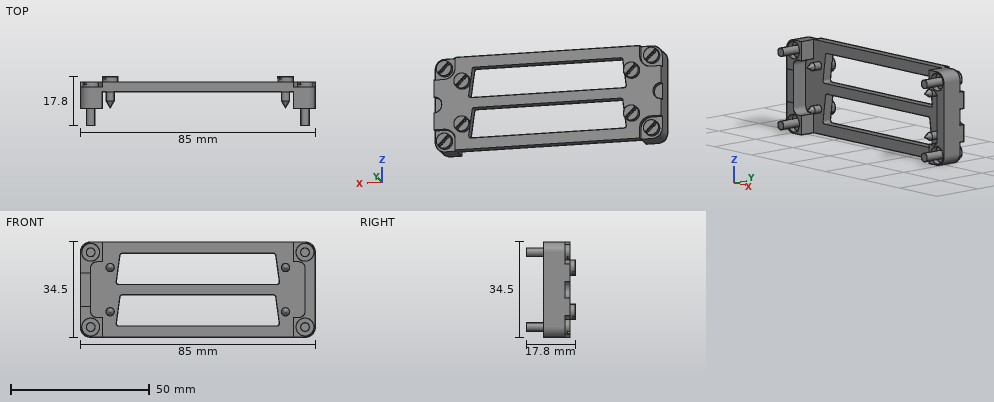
import cadquery as cq

LENGTH = 85.0
HEIGHT = 34.5
PLATE_THICKNESS = 3.65
BLOCK_DEPTH = 9.7
CORNER_RADIUS = 3.7

PAD_WIDTH = 8.0
PAD_HEIGHT = 7.1
RIM_WIDTH = 3.65
RIM_FILLET = 2.5

WINDOW_HEIGHT = 11.2
MIDDLE_BAR = 3.8
WINDOW_TOP_HALF = 28.05
WINDOW_BOTTOM_HALF = 29.6
WINDOW_FILLET = 0.85

SCREW_X = LENGTH / 2 - CORNER_RADIUS
SCREW_Z = HEIGHT / 2 - CORNER_RADIUS
SCREW_DIAMETER = 3.15
SCREW_REACH = 6.2
SCREW_RECESS_DIAMETER = 6.5
SCREW_RECESS_DEPTH = 2.3

GUIDE_X = 31.7
GUIDE_Z = 8.0
GUIDE_DIAMETER = 3.0
GUIDE_SHANK = 3.2
GUIDE_POINT = 2.55

HEAD_DIAMETER = 5.6
HEAD_HEIGHT = 1.9
SLOT_WIDTH = 0.85
SLOT_DEPTH = 0.9
SLOT_ANGLE = 45.0

POCKET_DEPTH = HEAD_HEIGHT
EDGE_NOTCH_DIAMETER = 5.95
LABEL_HEIGHT = 12.1
LABEL_DEPTH = 0.1

BLOCK_FRONT = -BLOCK_DEPTH
SIDES = (-1, 1)


def front_plane(y):
    """XZ sketch plane at depth y; extrusions run towards -Y."""
    return cq.Workplane("XZ", origin=(0, y, 0))


def four_points(x, z):
    return [(i * x, k * z) for i in SIDES for k in SIDES]


def body():
    """Rounded plate whose two ends are thickened into C-shaped blocks."""
    block = front_plane(0).rect(LENGTH, HEIGHT).extrude(BLOCK_DEPTH)
    block = block.edges("|Y").fillet(CORNER_RADIUS)

    thinning_depth = BLOCK_DEPTH - PLATE_THICKNESS
    between_pads = front_plane(-PLATE_THICKNESS).rect(LENGTH - 2 * PAD_WIDTH, HEIGHT).extrude(thinning_depth)
    between_rims = (
        front_plane(-PLATE_THICKNESS)
        .rect(LENGTH - 2 * RIM_WIDTH, HEIGHT - 2 * PAD_HEIGHT)
        .extrude(thinning_depth)
        .edges("|Y")
        .fillet(RIM_FILLET)
    )
    return block.cut(between_pads).cut(between_rims)


def window(bottom_z):
    """Tapered opening, wider at its lower edge."""
    top_z = bottom_z + WINDOW_HEIGHT
    return (
        front_plane(0)
        .polyline(
            [
                (-WINDOW_BOTTOM_HALF, bottom_z),
                (WINDOW_BOTTOM_HALF, bottom_z),
                (WINDOW_TOP_HALF, top_z),
                (-WINDOW_TOP_HALF, top_z),
            ]
        )
        .close()
        .extrude(BLOCK_DEPTH)
        .edges("|Y")
        .fillet(WINDOW_FILLET)
    )


def corner_pocket(side_x, side_z):
    """Pocket for a screw head, open at both outer sides and rounded inside."""
    inner_radius = PAD_WIDTH - CORNER_RADIUS
    size = 2 * PAD_WIDTH
    pocket = front_plane(0).center(side_x * LENGTH / 2, side_z * HEIGHT / 2).rect(size, size)
    return pocket.extrude(POCKET_DEPTH).edges("|Y").fillet(inner_radius)


def edge_notch(side_x):
    """Half-round notch in the middle of an end, as deep as the corner pockets."""
    return front_plane(0).center(side_x * LENGTH / 2, 0).circle(EDGE_NOTCH_DIAMETER / 2).extrude(POCKET_DEPTH)


def label_recess():
    """Shallow step across the front of the -X rim."""
    return (
        front_plane(BLOCK_FRONT + LABEL_DEPTH)
        .center((RIM_WIDTH - LENGTH) / 2, 0)
        .rect(RIM_WIDTH, LABEL_HEIGHT)
        .extrude(LABEL_DEPTH)
    )


def slotted_head(back_y):
    """Head centred on the Y axis, with a diagonal driver slot in its back face."""
    head = front_plane(back_y).circle(HEAD_DIAMETER / 2).extrude(HEAD_HEIGHT)
    slot = (
        front_plane(back_y)
        .transformed(rotate=(0, 0, -SLOT_ANGLE))
        .rect(2 * HEAD_DIAMETER, SLOT_WIDTH)
        .extrude(SLOT_DEPTH)
    )
    return head.cut(slot)


def screw():
    """Head flush with the plate's back, shank reaching past the block's front."""
    shank_start = -POCKET_DEPTH
    shank_length = BLOCK_DEPTH + SCREW_REACH - POCKET_DEPTH
    shank = front_plane(shank_start).circle(SCREW_DIAMETER / 2).extrude(shank_length)
    return slotted_head(0).union(shank)


def guide_pin():
    """Head standing on the plate's back, conical point at the front."""
    radius = GUIDE_DIAMETER / 2
    shoulder_y = -PLATE_THICKNESS - GUIDE_SHANK
    shank_and_point = (
        cq.Workplane("XY")
        .polyline([(0, 0), (radius, 0), (radius, shoulder_y), (0, shoulder_y - GUIDE_POINT)])
        .close()
        .revolve(360, (0, 0, 0), (0, 1, 0))
    )
    return slotted_head(HEAD_HEIGHT).union(shank_and_point)


result = body()

for bottom in (MIDDLE_BAR / 2, -MIDDLE_BAR / 2 - WINDOW_HEIGHT):
    result = result.cut(window(bottom))

for side in SIDES:
    result = result.cut(edge_notch(side))
    for level in SIDES:
        result = result.cut(corner_pocket(side, level))

result = result.cut(label_recess())

screw_recesses = (
    front_plane(BLOCK_FRONT + SCREW_RECESS_DEPTH)
    .pushPoints(four_points(SCREW_X, SCREW_Z))
    .circle(SCREW_RECESS_DIAMETER / 2)
    .extrude(SCREW_RECESS_DEPTH)
)
result = result.cut(screw_recesses)

for x, z in four_points(SCREW_X, SCREW_Z):
    result = result.union(screw().translate((x, 0, z)))

for x, z in four_points(GUIDE_X, GUIDE_Z):
    result = result.union(guide_pin().translate((x, 0, z)))